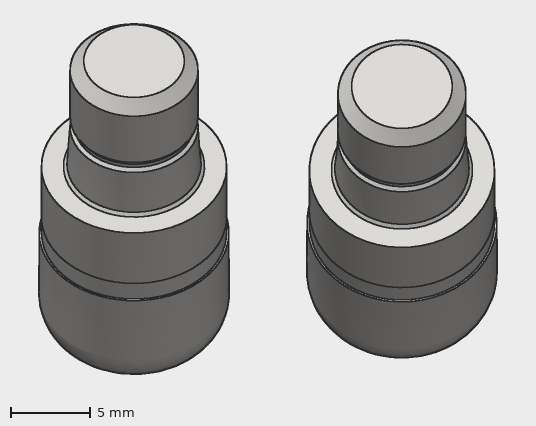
import cadquery as cq

total_height = 24.0
joint_height = 9.86
lip_height = 8.45
shoulder_height = 14.45
neck_flare_height = 14.66
neck_top_height = 18.07
groove_bottom_height = 18.26
groove_top_height = 18.55
head_bottom_height = 18.98
head_chamfer_height = 0.82

cap_radius = 6.0
cap_rim_radius = 5.98
cap_edge_radius = 3.0
barrel_radius = 5.83
flare_radius = 4.45
neck_base_radius = 4.22
neck_top_radius = 4.03
groove_radius = 3.77
head_radius = 4.03
head_end_radius = 3.17


def make_cap():
    """Rounded, slightly tapered cap with a reduced collar on top."""
    profile = (
        cq.Workplane("XZ")
        .lineTo(cap_radius - cap_edge_radius, 0)
        .radiusArc((cap_radius, cap_edge_radius), -cap_edge_radius)
        .lineTo(cap_rim_radius, lip_height)
        .lineTo(barrel_radius, lip_height)
        .lineTo(barrel_radius, joint_height)
        .lineTo(0, joint_height)
        .close()
    )
    return profile.revolve(360, (0, 0, 0), (0, 1, 0))


def make_stud():
    """Barrel flush with the cap collar, carrying a tapered neck and a grooved, chamfered head."""
    profile = (
        cq.Workplane("XZ")
        .moveTo(0, joint_height)
        .lineTo(barrel_radius, joint_height)
        .lineTo(barrel_radius, shoulder_height)
        .lineTo(flare_radius, shoulder_height)
        .lineTo(neck_base_radius, neck_flare_height)
        .lineTo(neck_top_radius, neck_top_height)
        .lineTo(groove_radius, groove_bottom_height)
        .lineTo(groove_radius, groove_top_height)
        .lineTo(head_radius, head_bottom_height)
        .lineTo(head_radius, total_height - head_chamfer_height)
        .lineTo(head_end_radius, total_height)
        .lineTo(0, total_height)
        .close()
    )
    return profile.revolve(360, (0, 0, 0), (0, 1, 0))


cap = make_cap()
stud = make_stud()

result = cq.Compound.makeCompound([cap.val(), stud.val()])